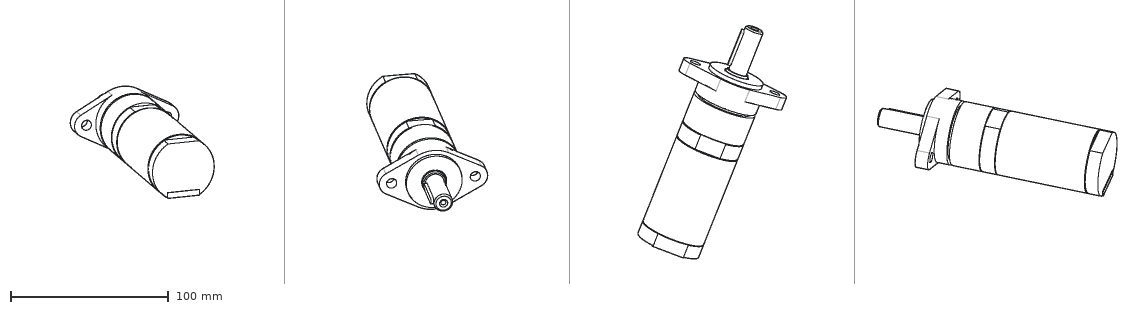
import cadquery as cq
import math


body_dia = 41.5
pilot_dia = 36.0
shaft_dia = 12.0
collar_front_dia = 14.0
collar_base_dia = 15.0
collar_recess_dia = 16.0

collar_start = 30.1
pilot_start = 31.5
collar_recess_depth = 0.9
flange_start = 34.2
flange_thickness = 8.3
groove_start = 50.9
groove_width = 1.8
neck_start = 72.3
neck_end = 82.5
main_end = 142.5
body_end = 151.0
overall_length = 151.5

shaft_chamfer = 1.0
body_chamfer = 0.5

neck_across_flats = 37.9
rear_across_flats = 36.0

flange_span = 70.0
flange_tip_radius = 8.0
mount_hole_dia = 6.5

key_start = 3.0
key_length = 25.0
key_width = 4.0
key_top = 7.5

centre_hole_dia = 3.2
centre_hole_depth = 9.1
countersink_dia = 5.3
countersink_depth = (countersink_dia - centre_hole_dia) / 2

pad_width = 21.5
pad_top = -14.2


def cylinder(start, end, diameter):
    return cq.Workplane("YZ", origin=(start, 0, 0)).circle(diameter / 2).extrude(end - start)


def flatted_cylinder(start, end, across_flats):
    """Body-diameter cylinder with one flat above and one below the axis."""
    length = end - start
    slab = cq.Workplane("XY").box(length, body_dia, across_flats).translate((start + length / 2, 0, 0))
    return cylinder(start, end, body_dia), slab


def make_shaft():
    """Keyed shaft with a collar that widens slightly towards the housing."""
    recess_floor = pilot_start + collar_recess_depth
    shaft = cylinder(0, recess_floor, shaft_dia).faces("<X").chamfer(shaft_chamfer)
    collar = (
        cq.Workplane("XY")
        .moveTo(collar_start, 0)
        .lineTo(collar_start, collar_front_dia / 2)
        .lineTo(pilot_start, collar_base_dia / 2)
        .lineTo(recess_floor, collar_base_dia / 2)
        .lineTo(recess_floor, 0)
        .close()
        .revolve(360, (0, 0, 0), (1, 0, 0))
    )
    key = (
        cq.Workplane("XZ", origin=(key_start + key_length / 2, 0, 0))
        .slot2D(key_length, key_width)
        .extrude(-key_top)
    )
    return shaft.union(collar).union(key)


def make_centre_hole():
    """Drilled hole whose mouth widens in a 45 degree countersink."""
    return (
        cq.Workplane("XY")
        .lineTo(0, countersink_dia / 2)
        .lineTo(countersink_depth, centre_hole_dia / 2)
        .lineTo(centre_hole_depth, centre_hole_dia / 2)
        .lineTo(centre_hole_depth, 0)
        .close()
        .revolve(360, (0, 0, 0), (1, 0, 0))
    )


def make_flange():
    """Two ears with rounded tips, their edges tangent to the body and joined by chords inside it."""
    hub_radius = body_dia / 2
    tip_centre = flange_span / 2 - flange_tip_radius
    tangent_angle = math.asin((hub_radius - flange_tip_radius) / tip_centre)
    along_y = math.sin(tangent_angle)
    along_z = math.cos(tangent_angle)
    hub_y = hub_radius * along_y
    hub_z = hub_radius * along_z
    tip_y = tip_centre + flange_tip_radius * along_y
    tip_z = flange_tip_radius * along_z
    return (
        cq.Workplane("YZ", origin=(flange_start, 0, 0))
        .moveTo(hub_y, hub_z)
        .lineTo(tip_y, tip_z)
        .threePointArc((flange_span / 2, 0), (tip_y, -tip_z))
        .lineTo(hub_y, -hub_z)
        .lineTo(-hub_y, -hub_z)
        .lineTo(-tip_y, -tip_z)
        .threePointArc((-flange_span / 2, 0), (-tip_y, tip_z))
        .lineTo(-hub_y, hub_z)
        .close()
        .pushPoints([(-tip_centre, 0), (tip_centre, 0)])
        .circle(mount_hole_dia / 2)
        .extrude(flange_thickness)
    )


def make_front_housing():
    """Pilot with a shallow recess around the collar, flange, and body split by a groove."""
    groove_end = groove_start + groove_width
    recess = cylinder(pilot_start, pilot_start + collar_recess_depth, collar_recess_dia)
    housing = cylinder(pilot_start, neck_start, pilot_dia).cut(recess)
    housing = housing.union(cylinder(flange_start, groove_start, body_dia))
    return housing.union(cylinder(groove_end, neck_start, body_dia)).union(make_flange())


def make_neck():
    round_part, slab = flatted_cylinder(neck_start, neck_end, neck_across_flats)
    return round_part.faces("<X").chamfer(body_chamfer).intersect(slab)


def make_main_housing():
    return cylinder(neck_end, main_end, body_dia).faces("<X or >X").chamfer(body_chamfer)


def make_rear_cap():
    round_part, slab = flatted_cylinder(main_end, body_end, rear_across_flats)
    cap = round_part.intersect(slab)
    pad_height = pad_top + rear_across_flats / 2
    pad = (
        cq.Workplane("YZ", origin=(body_end, 0, 0))
        .center(0, pad_top - pad_height / 2)
        .rect(pad_width, pad_height)
        .extrude(overall_length - body_end)
        .intersect(cylinder(body_end, overall_length, body_dia))
    )
    return cap.union(pad)


result = (
    make_shaft()
    .union(make_front_housing())
    .union(make_neck())
    .union(make_main_housing())
    .union(make_rear_cap())
    .cut(make_centre_hole())
)